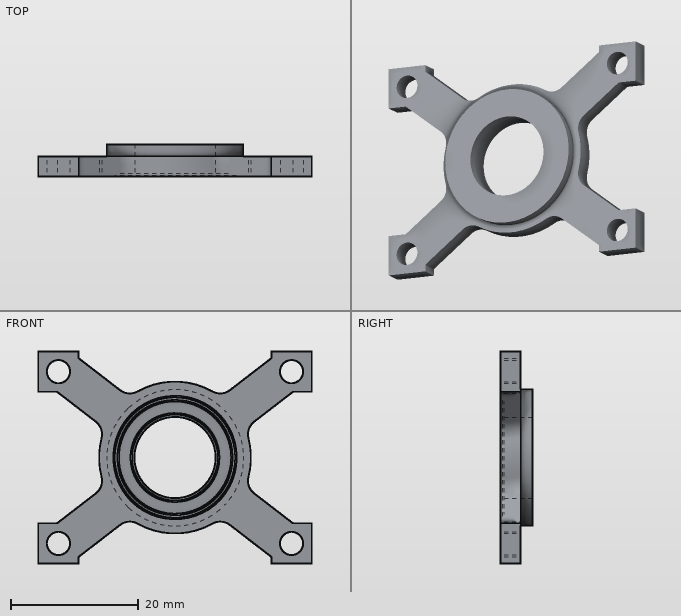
import cadquery as cq
import math

length = 42.95
height = 33.3
plate_thickness = 3.18
total_depth = 5.05

pad_size = 6.35
hole_diameter = 3.6
arm_width = 6.25
arm_angle = 37.6
hub_radius = 11.95
hub_fillet = 2.5
boss_radius = 10.75

bore_radius = 6.35
lip_radius = 6.75
lip_height = 0.25
outer_step_radius = 9.7
inner_step_radius = 9.05
step_depth = 0.25

hole_x = (length - pad_size) / 2
hole_z = (height - pad_size) / 2
hole_points = [(sx * hole_x, sz * hole_z) for sx in (-1, 1) for sz in (-1, 1)]


def front_plane():
    """Sketch plane on the front face: local X is X, local Y is Z, extruding backwards is negative."""
    return cq.Workplane("XZ")


def make_hub_and_arms():
    """Round hub with two crossing bars, blended where they meet."""
    bar_length = 2 * hole_x / math.cos(math.radians(arm_angle))
    body = front_plane().circle(hub_radius).extrude(-plate_thickness)
    for angle in (arm_angle, -arm_angle):
        bar = front_plane().rect(bar_length, arm_width).extrude(-plate_thickness)
        body = body.union(bar.rotate((0, 0, 0), (0, 1, 0), angle))
    reach = 1.1 * hub_radius
    near_hub = cq.selectors.BoxSelector((-reach, -reach, -reach), (reach, reach, reach))
    return body.edges("|Y").edges(near_hub).fillet(hub_fillet)


def make_pads():
    return front_plane().pushPoints(hole_points).rect(pad_size, pad_size).extrude(-plate_thickness)


def make_boss():
    return front_plane().circle(boss_radius).extrude(-total_depth)


def revolve_section(points):
    """Turn a (radius, depth) section about the Y axis."""
    return cq.Workplane("XY").polyline(points).close().revolve(360, (0, 0), (0, 1))


def make_recess_and_bore():
    """Through bore with a raised lip, inside a recess of two 45 degree steps."""
    face_depth = 2 * step_depth
    lip_depth = face_depth - lip_height
    return revolve_section([
        (0, 0),
        (outer_step_radius, 0),
        (outer_step_radius - step_depth, step_depth),
        (inner_step_radius, step_depth),
        (inner_step_radius - step_depth, face_depth),
        (lip_radius + lip_height, face_depth),
        (lip_radius, lip_depth),
        (bore_radius, lip_depth),
        (bore_radius, total_depth),
        (0, total_depth),
    ])


holes = front_plane().pushPoints(hole_points).circle(hole_diameter / 2).extrude(-plate_thickness)

result = make_hub_and_arms().union(make_pads()).union(make_boss())
result = result.cut(holes).cut(make_recess_and_bore())